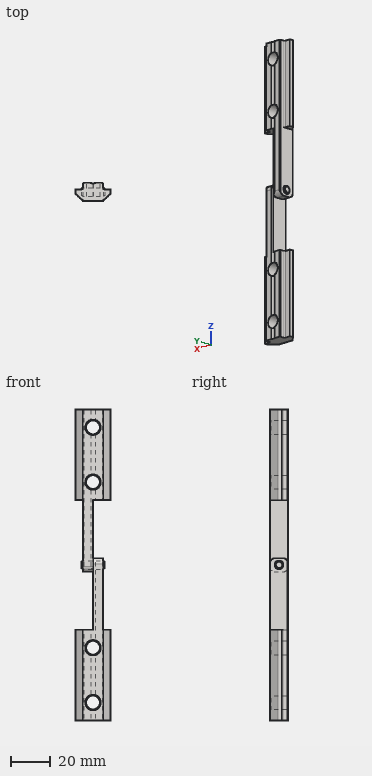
import cadquery as cq

total_length = 157.5
pivot_z = total_length / 2

bar_width = 18.0
bar_depth = 9.3
neck_width = 10.2
neck_height = 3.3
flange_edge = 2.2
flange_fillet = 0.3
base_step = 0.2
neck_chamfer = 0.5
root_fillet = 0.5
groove_width = 2.5
groove_depth = 0.3

block_length = 46.0
hole_diameter = 7.0
hole_chamfer = 0.5
end_hole_offset = 9.1
hole_spacing = 27.7

tongue_overhang = 3.5
tongue_end_radius = 2.8

pin_diameter = 4.4
pin_length = 11.7
pin_chamfer = 0.6

half_bar = bar_width / 2
half_neck = neck_width / 2
half_groove = groove_width / 2
back_y = bar_depth / 2
front_y = -bar_depth / 2
shoulder_y = back_y - neck_height
slope_y = shoulder_y - flange_edge


def round_edges_at_height(bar, y, half_spacing, radius):
    """Round the two lengthwise edges at X = +/-half_spacing and the given Y."""
    reach = radius / 2
    edge_zone = cq.selectors.BoxSelector(
        (-half_spacing - reach, y - reach, 0),
        (half_spacing + reach, y + reach, total_length),
    )
    return bar.edges("|Z").edges(edge_zone).fillet(radius)


def make_profile_bar(length):
    """Full-section bar standing on Z = 0."""
    right_half = [
        (half_groove, back_y),
        (half_neck - neck_chamfer, back_y),
        (half_neck, back_y - neck_chamfer),
        (half_neck, shoulder_y),
        (half_bar, shoulder_y),
        (half_bar, slope_y),
        (half_neck, front_y + base_step),
        (half_neck, front_y),
    ]
    left_half = [(-x, y) for x, y in reversed(right_half)]
    outline = cq.Workplane("XY").polyline(right_half + left_half)
    groove_floor = (0, back_y - groove_depth)
    bar = outline.threePointArc(groove_floor, right_half[0]).close().extrude(length)
    bar = round_edges_at_height(bar, shoulder_y, half_neck, root_fillet)
    return round_edges_at_height(bar, slope_y, half_bar, flange_fillet)


def make_tongue_envelope(length):
    """Half-width tongue on the +X side, rounded at its upper end."""
    envelope = cq.Workplane("XY").box(half_neck, bar_depth, length, centered=(False, True, False))
    return envelope.edges("|X and >Z").fillet(tongue_end_radius)


def make_bolt_holes():
    """Cutters for the two through holes, chamfered at the -Y face."""
    centres = [(0, end_hole_offset), (0, end_hole_offset + hole_spacing)]
    face = cq.Workplane("XZ", origin=(0, front_y, 0)).pushPoints(centres)
    holes = face.circle(hole_diameter / 2).extrude(-bar_depth)
    for x, z in centres:
        countersink = cq.Solid.makeCone(
            hole_diameter / 2 + hole_chamfer,
            hole_diameter / 2,
            hole_chamfer,
            cq.Vector(x, front_y, z),
            cq.Vector(0, 1, 0),
        )
        holes = holes.union(cq.Workplane(countersink))
    return holes


def make_pin():
    """Hinge pin along X, centred on the pivot."""
    pin = cq.Workplane("YZ", origin=(-pin_length / 2, 0, pivot_z)).circle(pin_diameter / 2)
    return pin.extrude(pin_length).faces("<X or >X").chamfer(pin_chamfer)


def make_bar(pin):
    """Lower bar: full block, then a tongue reaching past the pivot."""
    tongue_length = pivot_z + tongue_overhang
    block = make_profile_bar(block_length)
    tongue = make_profile_bar(tongue_length).intersect(make_tongue_envelope(tongue_length))
    return block.union(tongue).cut(make_bolt_holes()).cut(pin)


pin = make_pin()
lower_bar = make_bar(pin)
upper_bar = lower_bar.rotate((0, 0, pivot_z), (0, 1, pivot_z), 180)

result = cq.Compound.makeCompound([lower_bar.val(), upper_bar.val(), pin.val()])